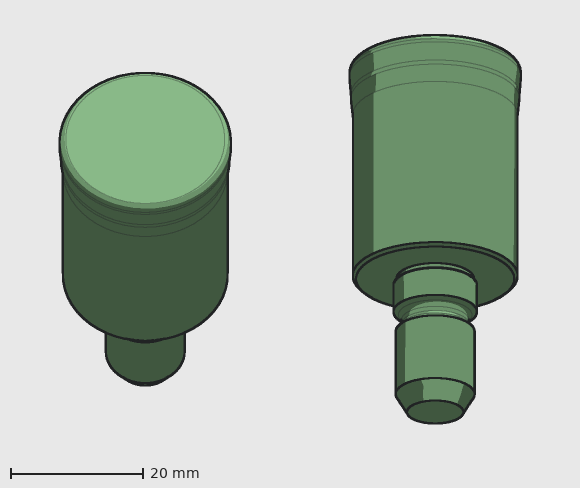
import cadquery as cq
import math

height = 57.0

body_radius = 12.5
body_bottom = 22.05
body_chamfer = 0.5
flare_start = 49.2
band_radius = 12.75
band_bottom = 51.9
band_top = 52.6
rim_radius = 13.0
rim_bottom = 55.5
rim_fillet = 0.95

pin_radius = 6.0
tip_radius = 4.3
tip_height = (pin_radius - tip_radius) / math.tan(math.radians(30))
pin_top = 13.35
groove_radius = 5.15
groove_bottom = 14.55
groove_top = 15.2
lower_blend_height = 0.5
lower_blend_angle = 45
upper_blend_height = 0.85
upper_blend_angle = 55
collar_radius = 6.3
collar_bottom = 16.6
collar_top = 21.2
collar_chamfer = 0.15
neck_fillet = 0.3


def blend_offset(blend_height, angle):
    """Radial rise of an arc that leaves the vertical and turns through an angle."""
    return blend_height * math.tan(math.radians(angle / 2))


def blend_middle(blend_height, angle):
    """Radial rise and height at the middle of the same arc."""
    arc_radius = blend_height / math.sin(math.radians(angle))
    half_angle = math.radians(angle / 2)
    return arc_radius * (1 - math.cos(half_angle)), arc_radius * math.sin(half_angle)


def revolve_about_z(profile):
    return profile.close().revolve(360, (0, 0, 0), (0, 1, 0))


def make_head():
    profile = (
        cq.Workplane("XZ")
        .moveTo(0, body_bottom)
        .lineTo(body_radius - body_chamfer, body_bottom)
        .lineTo(body_radius, body_bottom + body_chamfer)
        .lineTo(body_radius, flare_start)
        .lineTo(band_radius, band_bottom)
        .lineTo(band_radius, band_top)
        .lineTo(rim_radius, rim_bottom)
        .lineTo(rim_radius, height - rim_fillet)
        .radiusArc((rim_radius - rim_fillet, height), -rim_fillet)
        .lineTo(0, height)
    )
    return revolve_about_z(profile)


def make_shank():
    lower_rise, lower_drop = blend_middle(lower_blend_height, lower_blend_angle)
    upper_rise, upper_lift = blend_middle(upper_blend_height, upper_blend_angle)
    lower_blend_radius = groove_radius + blend_offset(lower_blend_height, lower_blend_angle)
    upper_blend_radius = groove_radius + blend_offset(upper_blend_height, upper_blend_angle)
    profile = (
        cq.Workplane("XZ")
        .lineTo(tip_radius, 0)
        .lineTo(pin_radius, tip_height)
        .lineTo(pin_radius, pin_top)
        .lineTo(lower_blend_radius, groove_bottom - lower_blend_height)
        .threePointArc(
            (groove_radius + lower_rise, groove_bottom - lower_drop),
            (groove_radius, groove_bottom),
        )
        .lineTo(groove_radius, groove_top)
        .threePointArc(
            (groove_radius + upper_rise, groove_top + upper_lift),
            (upper_blend_radius, groove_top + upper_blend_height),
        )
        .lineTo(collar_radius, collar_bottom)
        .lineTo(collar_radius, collar_top - collar_chamfer)
        .lineTo(collar_radius - collar_chamfer, collar_top)
        .radiusArc((collar_radius - collar_chamfer - neck_fillet, collar_top + neck_fillet), neck_fillet)
        .lineTo(collar_radius - collar_chamfer - neck_fillet, body_bottom)
        .lineTo(0, body_bottom)
    )
    return revolve_about_z(profile)


result = make_head().union(make_shank())